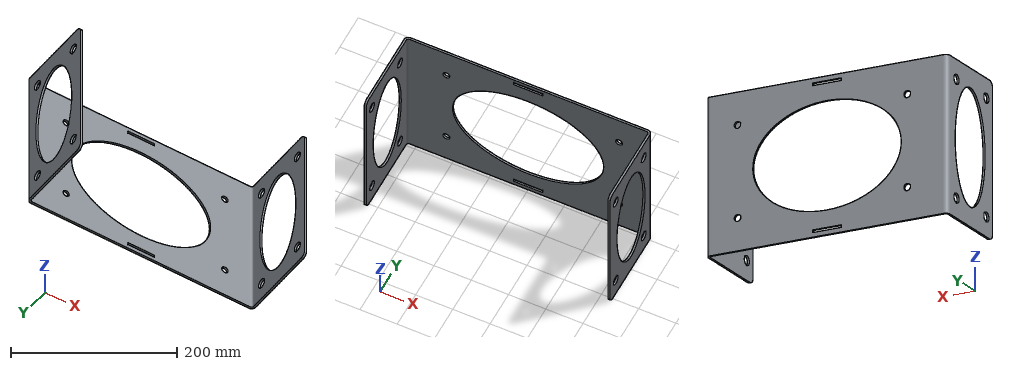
import cadquery as cq

width = 330.2
depth = 114.2
height = 203.0
thickness = 3.0
inner_bend_radius = 3.0
outer_bend_radius = inner_bend_radius + thickness
corner_radius = 8.0

back_oval_width = 202.7
back_oval_height = 140.0
back_hole_diameter = 9.0
back_hole_spacing_x = 231.8
back_hole_spacing_z = 119.0
back_hole_offset_x = 6.3
slot_length = 39.0
slot_width = 3.3
slot_edge_distance = 7.5

flange_oval_width = 76.0
flange_oval_height = 152.5
flange_hole_diameter = 12.5
flange_hole_spacing_y = 76.0
flange_hole_spacing_z = 152.0
flange_hole_setback = 60.5

back_y = depth / 2


def folded_sheet():
    """U-shaped sheet, open toward -Y, with rounded bends and front corners."""
    outside = (
        cq.Workplane("XY")
        .box(width, depth, height)
        .edges("|Z and >Y")
        .fillet(outer_bend_radius)
    )
    inside = (
        cq.Workplane("XY")
        .box(width - 2 * thickness, depth, height)
        .edges("|Z and >Y")
        .fillet(inner_bend_radius)
        .translate((0, -thickness, 0))
    )
    return outside.cut(inside).edges("|X and <Y").fillet(corner_radius)


def back_cutters():
    """Oval, four holes and two slots, running through the back plate."""
    start = cq.Workplane("XZ", origin=(0, back_y, 0))
    cut_depth = 2 * thickness
    oval = start.ellipse(back_oval_width / 2, back_oval_height / 2).extrude(cut_depth)
    holes = (
        start.center(back_hole_offset_x, 0)
        .rect(back_hole_spacing_x, back_hole_spacing_z, forConstruction=True)
        .vertices()
        .circle(back_hole_diameter / 2)
        .extrude(cut_depth)
    )
    slot_z = height / 2 - slot_edge_distance
    slots = (
        start.pushPoints([(0, slot_z), (0, -slot_z)])
        .rect(slot_length, slot_width)
        .extrude(cut_depth)
    )
    return [oval, holes, slots]


def flange_cutters():
    """Oval and four holes, running through both flanges."""
    start = cq.Workplane("YZ", origin=(-width / 2, 0, 0))
    oval = start.ellipse(flange_oval_width / 2, flange_oval_height / 2).extrude(width)
    holes = (
        start.center(back_y - flange_hole_setback, 0)
        .rect(flange_hole_spacing_y, flange_hole_spacing_z, forConstruction=True)
        .vertices()
        .circle(flange_hole_diameter / 2)
        .extrude(width)
    )
    return [oval, holes]


result = folded_sheet()
for cutter in back_cutters() + flange_cutters():
    result = result.cut(cutter)